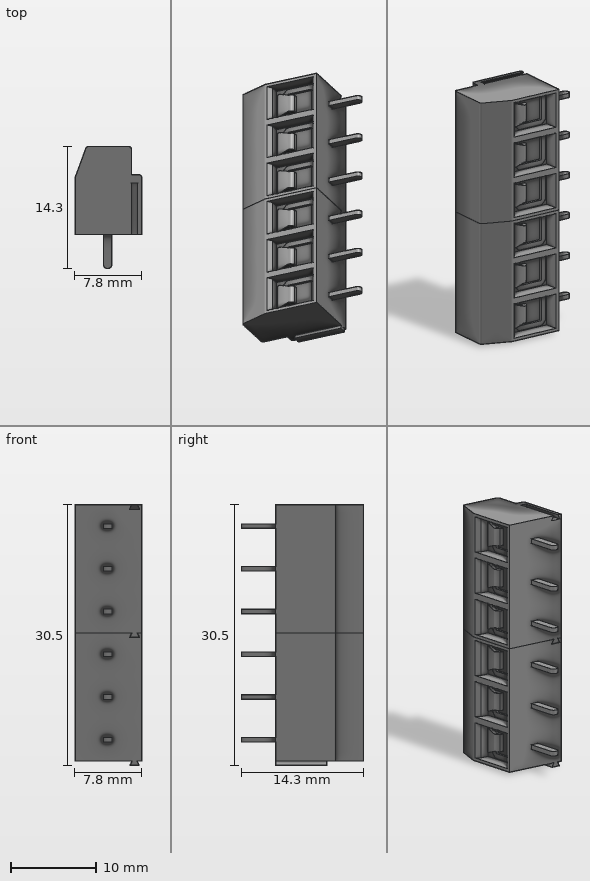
import cadquery as cq


PITCH = 5.0
WAYS_PER_HOUSING = 3
HOUSING_COUNT = 2
MODULE_LENGTH = WAYS_PER_HOUSING * PITCH

BODY_DEPTH = 7.8
BODY_HEIGHT = 10.3
UPPER_DEPTH = 6.6
STEP_HEIGHT = 7.0
SLANT_BASE_HEIGHT = 6.7
SLANT_TOP_X = 1.32
TOP_RADIUS = 0.3
SLANT_BASE_RADIUS = 0.5

DOVETAIL_X = 6.95
DOVETAIL_NECK = 0.6
DOVETAIL_TIP = 1.1
DOVETAIL_DEPTH = 0.5
DOVETAIL_HEIGHT = 6.0
DOVETAIL_CLEARANCE = 0.05

POCKET_DEPTH = 1.6
POCKET_WIDTH = 4.25
POCKET_MOUTH_BOTTOM = 0.45
POCKET_BACK_BOTTOM = 0.65
POCKET_MOUTH_TOP = 6.45
POCKET_BACK_TOP = 6.0
POCKET_LEAD_IN = 0.55

CAGE_BOTTOM = 0.85
CAGE_TOP = 5.13
CAGE_WIDTH = 4.1
CAGE_CHAMFER = 0.5
CAGE_LENGTH = 4.4
WINDOW_BOTTOM = 1.42
WINDOW_TOP = 4.5
WINDOW_WIDTH = 2.9
WINDOW_DEPTH = 0.35
WINDOW_RADIUS = 0.15
WINDOW_BACK_X = POCKET_DEPTH + WINDOW_DEPTH

LEAF_TOP = 5.85
LEAF_BEND_DROP = 0.48
LEAF_BEND_RADIUS = 0.5
LEAF_BEND_X = 1.18
LEAF_NOSE_X = 1.1
LEAF_NOSE_Y = 4.2
LEAF_NOSE_RADIUS = 0.8
LEAF_NOSE_END_X = 1.5
LEAF_NOSE_END_Y = 3.61
LEAF_TIP = 3.54
LEAF_TIP_WIDTH = 2.1
LEAF_BEND_Y = LEAF_TOP - LEAF_BEND_DROP

PIN_X = 3.8
PIN_WIDTH = 1.0
PIN_THICKNESS = 0.55
PIN_PROTRUSION = 4.0


def dovetail(clearance, z_top):
    """Dovetail bar along Y, widening downwards from its neck at z_top."""
    half_neck = DOVETAIL_NECK / 2 + clearance
    half_tip = DOVETAIL_TIP / 2 + clearance
    z_tip = z_top - DOVETAIL_DEPTH - clearance
    return (
        cq.Workplane("XZ")
        .polyline([
            (DOVETAIL_X - half_neck, z_top),
            (DOVETAIL_X + half_neck, z_top),
            (DOVETAIL_X + half_tip, z_tip),
            (DOVETAIL_X - half_tip, z_tip),
        ])
        .close()
        .extrude(-DOVETAIL_HEIGHT - clearance)
    )


def housing_block(z_base):
    """Plain housing with a slanted wire side, a rear step and rounded edges."""
    block = (
        cq.Workplane("XY", origin=(0, 0, z_base))
        .polyline([
            (0, 0),
            (BODY_DEPTH, 0),
            (BODY_DEPTH, STEP_HEIGHT),
            (UPPER_DEPTH, STEP_HEIGHT),
            (UPPER_DEPTH, BODY_HEIGHT),
            (SLANT_TOP_X, BODY_HEIGHT),
            (0, SLANT_BASE_HEIGHT),
        ])
        .close()
        .extrude(MODULE_LENGTH)
    )
    for x, y, radius in [
        (BODY_DEPTH, STEP_HEIGHT, TOP_RADIUS),
        (UPPER_DEPTH, BODY_HEIGHT, TOP_RADIUS),
        (SLANT_TOP_X, BODY_HEIGHT, TOP_RADIUS),
        (0, SLANT_BASE_HEIGHT, SLANT_BASE_RADIUS),
    ]:
        corner = cq.selectors.NearestToPointSelector((x, y, z_base + MODULE_LENGTH / 2))
        block = block.edges(corner).fillet(radius)
    return block


def wire_pocket(z):
    """Wire entry with a sloped floor and a lead-in at the top."""
    return (
        cq.Workplane("XY", origin=(0, 0, z))
        .polyline([
            (0, POCKET_MOUTH_BOTTOM),
            (POCKET_DEPTH, POCKET_BACK_BOTTOM),
            (POCKET_DEPTH, POCKET_BACK_TOP),
            (POCKET_LEAD_IN, POCKET_BACK_TOP),
            (0, POCKET_MOUTH_TOP),
        ])
        .close()
        .extrude(POCKET_WIDTH / 2, both=True)
    )


def cage_block(z):
    """Solid cage with chamfered long edges; also the shape of its cavity."""
    return (
        cq.Workplane("YZ", origin=(POCKET_DEPTH, (CAGE_BOTTOM + CAGE_TOP) / 2, z))
        .rect(CAGE_TOP - CAGE_BOTTOM, CAGE_WIDTH)
        .extrude(CAGE_LENGTH)
        .edges("|X")
        .chamfer(CAGE_CHAMFER)
    )


def pin(z):
    """Flat solder pin with a round end, running down from the cage."""
    half_width = PIN_WIDTH / 2
    round_start = half_width - PIN_PROTRUSION
    return (
        cq.Workplane("XY", origin=(PIN_X, 0, z))
        .moveTo(-half_width, CAGE_BOTTOM)
        .lineTo(-half_width, round_start)
        .threePointArc((0, -PIN_PROTRUSION), (half_width, round_start))
        .lineTo(half_width, CAGE_BOTTOM)
        .close()
        .extrude(PIN_THICKNESS / 2, both=True)
    )


def cage_window(z):
    """Shallow round-cornered recess in the front of the cage."""
    return (
        cq.Workplane("YZ", origin=(POCKET_DEPTH, (WINDOW_BOTTOM + WINDOW_TOP) / 2, z))
        .rect(WINDOW_TOP - WINDOW_BOTTOM, WINDOW_WIDTH)
        .extrude(WINDOW_DEPTH)
        .edges("|X")
        .fillet(WINDOW_RADIUS)
    )


def leaf(z):
    """Bent leaf that bulges into the pocket and narrows towards its rounded tip."""
    side = (
        cq.Workplane("XY", origin=(0, 0, z))
        .moveTo(POCKET_DEPTH, LEAF_TOP)
        .radiusArc((LEAF_BEND_X, LEAF_BEND_Y), -LEAF_BEND_RADIUS)
        .lineTo(LEAF_NOSE_X, LEAF_NOSE_Y)
        .radiusArc((LEAF_NOSE_END_X, LEAF_NOSE_END_Y), -LEAF_NOSE_RADIUS)
        .lineTo(WINDOW_BACK_X, LEAF_TIP)
        .lineTo(WINDOW_BACK_X, CAGE_TOP)
        .lineTo(POCKET_DEPTH, CAGE_TOP)
        .close()
        .extrude(WINDOW_WIDTH / 2, both=True)
    )
    half_wide = WINDOW_WIDTH / 2
    half_tip = LEAF_TIP_WIDTH / 2
    face = (
        cq.Workplane("YZ", origin=(0, 0, z))
        .polyline([
            (LEAF_TOP, half_wide),
            (LEAF_BEND_Y, half_wide),
            (LEAF_NOSE_Y, half_tip),
            (LEAF_TIP, half_tip),
            (LEAF_TIP, -half_tip),
            (LEAF_NOSE_Y, -half_tip),
            (LEAF_BEND_Y, -half_wide),
            (LEAF_TOP, -half_wide),
        ])
        .close()
        .extrude(WINDOW_BACK_X)
    )
    return side.intersect(face)


def terminal(z):
    """One metal terminal: cage, leaf and solder pin in one piece."""
    return cage_block(z).cut(cage_window(z)).union(leaf(z)).union(pin(z))


def housing(z_base):
    """One three-way housing with its pockets, terminal cavities and dovetail."""
    body = housing_block(z_base)
    body = body.union(dovetail(0, z_base))
    body = body.cut(dovetail(DOVETAIL_CLEARANCE, z_base + MODULE_LENGTH))
    for way in range(WAYS_PER_HOUSING):
        z = z_base + (way + 0.5) * PITCH
        body = body.cut(wire_pocket(z))
        body = body.cut(cage_block(z))
        body = body.cut(pin(z))
    return body


housings = [housing(index * MODULE_LENGTH) for index in range(HOUSING_COUNT)]
terminals = [terminal((way + 0.5) * PITCH) for way in range(HOUSING_COUNT * WAYS_PER_HOUSING)]

result = cq.Compound.makeCompound([body.solids().val() for body in housings + terminals])